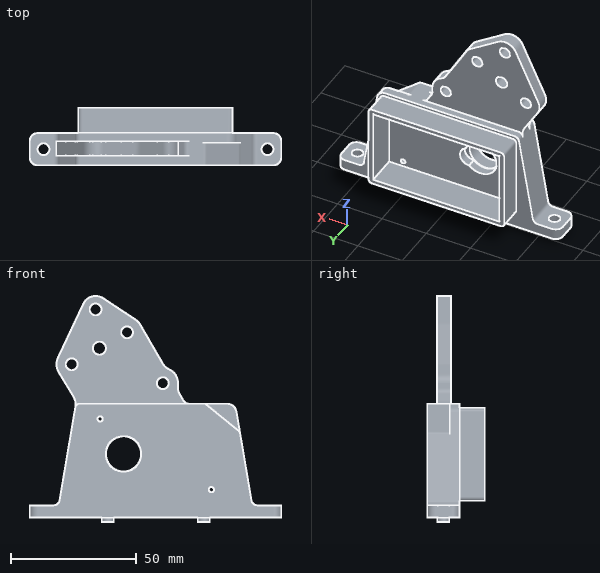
import cadquery as cq
import math

LENGTH = 99.9
BODY_DEPTH = 12.9
FLANGE_HEIGHT = 4.9
FLANGE_CORNER_RADIUS = 3.2
BODY_TOP = 45.2
BODY_FOOT_INSET = 11.5
WALL_LEAN = math.radians(9.6)
FOOT_FILLET = 2.3
LEFT_TOP_FILLET = 2.0
RIGHT_TOP_FILLET = 4.0

FLANGE_HOLE_INSET = 5.5
FLANGE_HOLE_DIAMETER = 4.6
PIN_DIAMETER = 4.9
PIN_LENGTH = 1.8
PIN_XS = (31.0, 69.1)

TOTAL_DEPTH = 23.0
COVER_LEFT = 19.3
COVER_RIGHT = 80.5
COVER_BOTTOM = 6.6
COVER_TOP = 43.6
COVER_CORNER_RADIUS = 1.6
COVER_WALL = 2.1
POCKET_START = 9.6

SHAFT_BORE_DIAMETER = 13.9
SHAFT_BORE_CENTER = (37.3, 25.3)
HUB_RECESS_START = 5.7
HUB_RECESS_DIAMETER = 14.5
HUB_LOBE_DIAMETER = 8.2
HUB_LOBE_OFFSET = (5.1, -1.1)
SMALL_HOLE_DIAMETER = 2.0
SMALL_HOLE_CENTERS = ((28.0, 39.1), (72.1, 11.1))

NOTCH_DEPTH = 9.0
NOTCH_TOP_X = 69.6
NOTCH_SIDE_Z = 34.0
NOTCH_EDGE_FILLET = 2.0

LEVER_FRONT = 3.9
LEVER_THICKNESS = 5.7
LEVER_HOLE_DIAMETER = 4.6
LEVER_CENTER_HOLE_DIAMETER = 5.1
LEVER_CENTER_HOLE = (27.7, 67.2)
TOP_HOLE = (26.2, 82.6)
LEFT_HOLE = (16.7, 60.8)
UPPER_RIGHT_HOLE = (38.6, 73.5)
LOWER_RIGHT_HOLE = (52.8, 53.3)
LEVER_HOLES = (TOP_HOLE, LEFT_HOLE, UPPER_RIGHT_HOLE, LOWER_RIGHT_HOLE)
TOP_LOBE_RADIUS = 5.4
LOBE_RADIUS = 6.1
LEFT_ROOT_RADIUS = 6.0
LEFT_ROOT_Z = 43.9
SHOULDER_RADIUS = 5.0
SHOULDER_CENTER = (57.2, 63.5)
NECK_RADIUS = 4.0
NECK_CENTER_Z = 51.2
TOE_RADIUS = 2.4
TOE_CENTER_X = 63.1
TOE_RUNOUT = 1.0
LEVER_EMBED = 3.0


def left_wall_x(z):
    return BODY_FOOT_INSET + (z - FLANGE_HEIGHT) * math.tan(WALL_LEAN)


def right_wall_x(z):
    return LENGTH - left_wall_x(z)


def xz_plane(y):
    """Upright sketch plane at depth y; negative extrusions run toward +Y."""
    return cq.Workplane("XZ", origin=(0, y, 0))


def bore(points, diameter, depth):
    """Cylinders running back from the front face."""
    return xz_plane(0).pushPoints(points).circle(diameter / 2).extrude(-depth)


def tangent_points(first, second):
    """Ends of the line touching two circles given as (x, z, signed radius).

    The outline runs clockwise: positive radii are convex, negative ones are concave,
    and a zero radius is a plain corner.
    """
    x1, z1, r1 = first
    x2, z2, r2 = second
    distance = math.hypot(x2 - x1, z2 - z1)
    normal = math.atan2(z2 - z1, x2 - x1) + math.acos((r1 - r2) / distance)
    nx = math.cos(normal)
    nz = math.sin(normal)
    return (x1 + r1 * nx, z1 + r1 * nz), (x2 + r2 * nx, z2 + r2 * nz)


def arc_middle(circle, start, end):
    """Point halfway along the short arc of a circle from start to end."""
    x, z, radius = circle
    dx = (start[0] + end[0]) / 2 - x
    dz = (start[1] + end[1]) / 2 - z
    stretch = abs(radius) / math.hypot(dx, dz)
    return (x + dx * stretch, z + dz * stretch)


def belt_outline(workplane, circles):
    """Closed outline of tangent lines joined by arcs of the given circles."""
    count = len(circles)
    lines = [tangent_points(circles[i], circles[(i + 1) % count]) for i in range(count)]
    outline = workplane.moveTo(*lines[-1][1])
    for i in range(count):
        arrive = lines[i - 1][1]
        leave, next_arrive = lines[i]
        if circles[i][2] != 0:
            outline = outline.threePointArc(arc_middle(circles[i], arrive, leave), leave)
        outline = outline.lineTo(*next_arrive)
    return outline.close()


def make_flange():
    flange = cq.Workplane("XY").box(LENGTH, BODY_DEPTH, FLANGE_HEIGHT, centered=False)
    return flange.edges("|Z").fillet(FLANGE_CORNER_RADIUS)


def make_housing():
    outline = [
        (left_wall_x(FLANGE_HEIGHT), FLANGE_HEIGHT),
        (left_wall_x(BODY_TOP), BODY_TOP),
        (right_wall_x(BODY_TOP), BODY_TOP),
        (right_wall_x(FLANGE_HEIGHT), FLANGE_HEIGHT),
    ]
    housing = xz_plane(0).polyline(outline).close().extrude(-BODY_DEPTH)
    housing = housing.faces(">Z").edges("|Y").edges("<X").fillet(LEFT_TOP_FILLET)
    housing = housing.faces(">Z").edges("|Y").edges(">X").fillet(RIGHT_TOP_FILLET)
    housing = housing.union(make_flange())
    feet = [left_wall_x(FLANGE_HEIGHT), right_wall_x(FLANGE_HEIGHT)]
    for x in feet:
        foot_edge = cq.selectors.NearestToPointSelector((x, BODY_DEPTH / 2, FLANGE_HEIGHT))
        housing = housing.edges(foot_edge).fillet(FOOT_FILLET)
    return housing


def cut_notch(housing):
    side_x = right_wall_x(NOTCH_SIDE_Z)
    outline = [
        (NOTCH_TOP_X, BODY_TOP),
        (side_x, NOTCH_SIDE_Z),
        (side_x, BODY_TOP),
    ]
    notched = housing.cut(xz_plane(0).polyline(outline).close().extrude(-NOTCH_DEPTH))
    for x, z in outline[:2]:
        notch_edge = cq.selectors.NearestToPointSelector((x, NOTCH_DEPTH / 2, z))
        notched = notched.edges(notch_edge).fillet(NOTCH_EDGE_FILLET)
    return notched


def cover_block(inset, y_start):
    """Square-cornered block of the cover shape, shrunk by inset, from y_start to the rear."""
    width = COVER_RIGHT - COVER_LEFT - 2 * inset
    height = COVER_TOP - COVER_BOTTOM - 2 * inset
    center = ((COVER_LEFT + COVER_RIGHT) / 2, (COVER_BOTTOM + COVER_TOP) / 2)
    return xz_plane(y_start).center(*center).rect(width, height).extrude(y_start - TOTAL_DEPTH)


def make_lever():
    root_direction = (-math.cos(WALL_LEAN), math.sin(WALL_LEAN))
    left_root_x = left_wall_x(LEFT_ROOT_Z) + LEFT_ROOT_RADIUS * root_direction[0]
    left_root_z = LEFT_ROOT_Z + LEFT_ROOT_RADIUS * root_direction[1]
    embedded_z = BODY_TOP - LEVER_EMBED
    toe_end_x = TOE_CENTER_X + TOE_RUNOUT
    circles = [
        (left_wall_x(embedded_z), embedded_z, 0),
        (left_root_x, left_root_z, -LEFT_ROOT_RADIUS),
        (*LEFT_HOLE, LOBE_RADIUS),
        (*TOP_HOLE, TOP_LOBE_RADIUS),
        (*UPPER_RIGHT_HOLE, LOBE_RADIUS),
        (*SHOULDER_CENTER, -SHOULDER_RADIUS),
        (*LOWER_RIGHT_HOLE, LOBE_RADIUS),
        (LOWER_RIGHT_HOLE[0] + LOBE_RADIUS + NECK_RADIUS, NECK_CENTER_Z, -NECK_RADIUS),
        (TOE_CENTER_X, BODY_TOP + TOE_RADIUS, -TOE_RADIUS),
        (toe_end_x, BODY_TOP, 0),
        (toe_end_x, embedded_z, 0),
    ]
    lever = belt_outline(xz_plane(LEVER_FRONT), circles).extrude(-LEVER_THICKNESS)
    lever = lever.cut(bore(LEVER_HOLES, LEVER_HOLE_DIAMETER, BODY_DEPTH))
    return lever.cut(bore([LEVER_CENTER_HOLE], LEVER_CENTER_HOLE_DIAMETER, BODY_DEPTH))


def make_pins():
    points = [(x, BODY_DEPTH / 2) for x in PIN_XS]
    pins = cq.Workplane("XY").pushPoints(points).circle(PIN_DIAMETER / 2)
    return pins.extrude(-PIN_LENGTH)


def make_flange_holes():
    points = [(x, BODY_DEPTH / 2) for x in (FLANGE_HOLE_INSET, LENGTH - FLANGE_HOLE_INSET)]
    holes = cq.Workplane("XY").pushPoints(points).circle(FLANGE_HOLE_DIAMETER / 2)
    return holes.extrude(FLANGE_HEIGHT)


def make_hub_recess():
    """Recess behind the shaft bore: a slightly wider circle with a smaller lobe beside it."""
    depth = POCKET_START - HUB_RECESS_START
    hub = xz_plane(HUB_RECESS_START).center(*SHAFT_BORE_CENTER)
    lobe = hub.center(*HUB_LOBE_OFFSET).circle(HUB_LOBE_DIAMETER / 2).extrude(-depth)
    return hub.circle(HUB_RECESS_DIAMETER / 2).extrude(-depth).union(lobe)


cover = cover_block(0, BODY_DEPTH).edges("|Y").fillet(COVER_CORNER_RADIUS)
pocket = cover_block(COVER_WALL, POCKET_START)

result = cut_notch(make_housing())
result = result.union(make_lever()).union(cover).union(make_pins())
result = result.cut(pocket).cut(make_hub_recess()).cut(make_flange_holes())
result = result.cut(bore([SHAFT_BORE_CENTER], SHAFT_BORE_DIAMETER, TOTAL_DEPTH))
result = result.cut(bore(SMALL_HOLE_CENTERS, SMALL_HOLE_DIAMETER, TOTAL_DEPTH))